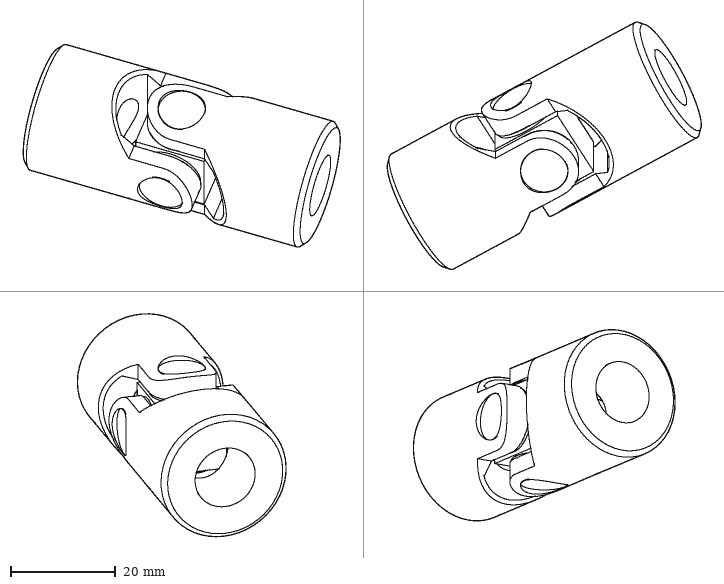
import cadquery as cq
import math

LENGTH = 56.0
BODY_DIAMETER = 25.0
END_CHAMFER = 1.0
BORE_DIAMETER = 12.0

EAR_RADIUS = 6.55
EAR_GAP = 15.0
EAR_FLAT_LENGTH = 6.95
SHOULDER_END = 13.45
PIN_DIAMETER = 9.0
CAVITY_END = 12.65
CAVITY_END_RADIUS = 10.7

BLOCK_LENGTH = 13.9
BLOCK_WIDTH = 13.55
BLOCK_HEIGHT = 13.9
COLLAR_DIAMETER = 12.5
PIN_SPAN = 23.1
DOME_DIAMETER = 2.2
DOME_HEIGHT = 0.15

BODY_RADIUS = BODY_DIAMETER / 2
HALF_LENGTH = LENGTH / 2


def along_x(diameter, start, end):
    """Cylinder on the X axis."""
    return cq.Workplane("YZ", origin=(start, 0, 0)).circle(diameter / 2).extrude(end - start)


def ear_outline():
    """Round-nosed ears widening along sloped shoulders to the full body, extruded along Z."""
    return (
        cq.Workplane("XY")
        .moveTo(0, EAR_RADIUS)
        .threePointArc((-EAR_RADIUS, 0), (0, -EAR_RADIUS))
        .lineTo(EAR_FLAT_LENGTH, -EAR_RADIUS)
        .lineTo(SHOULDER_END, -BODY_RADIUS)
        .lineTo(HALF_LENGTH, -BODY_RADIUS)
        .lineTo(HALF_LENGTH, BODY_RADIUS)
        .lineTo(SHOULDER_END, BODY_RADIUS)
        .lineTo(EAR_FLAT_LENGTH, EAR_RADIUS)
        .close()
        .extrude(BODY_RADIUS, both=True)
    )


def make_yoke():
    """Yoke on the +X side: ears above and below the joint centre, round-ended cavity between them."""
    body = along_x(BODY_DIAMETER, -EAR_RADIUS, HALF_LENGTH).faces(">X").chamfer(END_CHAMFER)
    body = body.intersect(ear_outline())
    half_gap = EAR_GAP / 2
    arc_centre = CAVITY_END - CAVITY_END_RADIUS
    arc_start = arc_centre + math.sqrt(CAVITY_END_RADIUS**2 - half_gap**2)
    cavity = (
        cq.Workplane("XZ")
        .moveTo(-EAR_RADIUS, -half_gap)
        .lineTo(arc_start, -half_gap)
        .threePointArc((CAVITY_END, 0), (arc_start, half_gap))
        .lineTo(-EAR_RADIUS, half_gap)
        .close()
        .extrude(BODY_RADIUS, both=True)
    )
    bore = along_x(BORE_DIAMETER, 0, HALF_LENGTH)
    pin_hole = cq.Workplane("XY").circle(PIN_DIAMETER / 2).extrude(BODY_RADIUS, both=True)
    return body.cut(cavity).cut(bore).cut(pin_hole)


def make_pin():
    """Pin along Z through the cross, with a collar towards each ear and a low dome on each end."""
    dome_radius = DOME_DIAMETER / 2
    sphere_radius = (dome_radius**2 + DOME_HEIGHT**2) / (2 * DOME_HEIGHT)
    half_span = PIN_SPAN / 2
    tip = half_span + DOME_HEIGHT
    half_profile = (
        cq.Workplane("XZ")
        .lineTo(COLLAR_DIAMETER / 2, 0)
        .lineTo(COLLAR_DIAMETER / 2, EAR_GAP / 2)
        .lineTo(PIN_DIAMETER / 2, EAR_GAP / 2)
        .lineTo(PIN_DIAMETER / 2, half_span)
        .lineTo(dome_radius, half_span)
        .radiusArc((0, tip), -sphere_radius)
        .close()
    )
    upper_half = half_profile.revolve(360, (0, 0, 0), (0, 1, 0))
    return upper_half.union(upper_half.mirror("XY"))


def make_cross():
    """Centre block with one pin along Z and one along Y."""
    block = cq.Workplane("XY").box(BLOCK_LENGTH, BLOCK_WIDTH, BLOCK_HEIGHT)
    pin = make_pin()
    return block.union(pin).union(pin.rotate((0, 0, 0), (1, 0, 0), 90))


right_yoke = make_yoke()
left_yoke = right_yoke.rotate((0, 0, 0), (0, 0, 1), 180).rotate((0, 0, 0), (1, 0, 0), 90)
cross = make_cross()

result = cq.Compound.makeCompound([right_yoke.val(), left_yoke.val(), cross.val()])